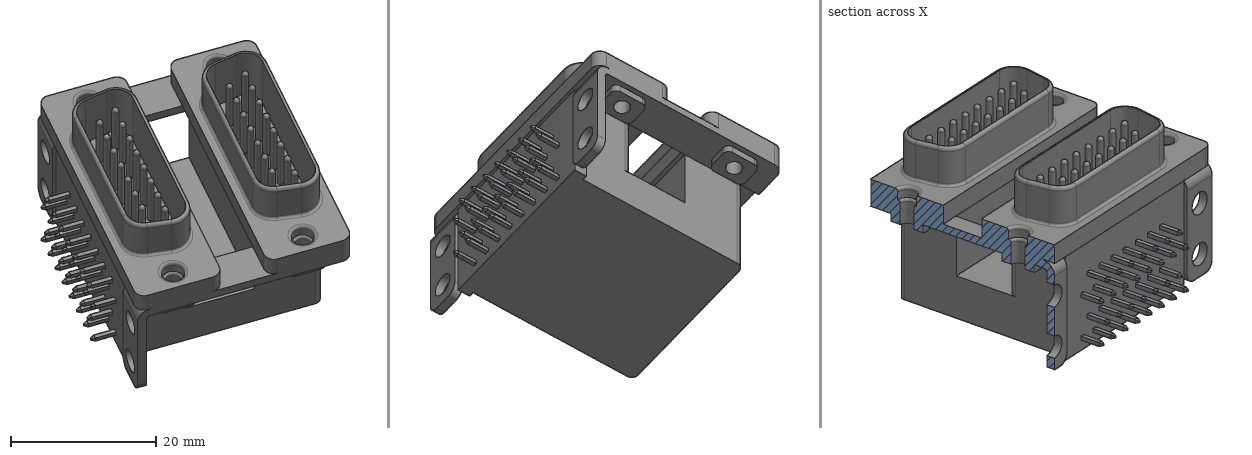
import cadquery as cq
import math

width = 39.15
height = 25.6
connector_pitch = 19.05
overlap = 0.2

flange_depth = 12.52
flange_bottom = 16.65
flange_top = 19.6
flange_corner = 1.5
connector_centers = [flange_depth / 2, flange_depth / 2 + connector_pitch]
rear_end = connector_pitch + flange_depth

shell_corner = 3.05
shell_wall = 0.6
shell_lip_round = 0.55
shell_root_fillet = 0.4
corner_half_span_y = 1.7
corner_half_span_x = 10.15
shell_slant = math.radians(10)

contact_pitch = 2.77
row_gap = 2.8
contact_radius = 0.49
contact_top = 24.97
long_row = 8
short_row = 7

pin_width = 0.63
pin_end = -3.2
pin_tip_length = 0.6
pin_taper_angle = 20
lower_row_z = 1.9
pin_group_step = 6.7

sheet = 1.35
bend_outer = 1.9
bend_inner = bend_outer - sheet
arm_inner_x = 13.8
arm_width = width / 2 - arm_inner_x
arm_x = (width / 2 + arm_inner_x) / 2
arm_bottom = flange_bottom - sheet
tab_corner = 1.55
tab_hole_radius = 1.72
tab_hole_heights = [3.55, 11.55]

bore_radius = 1.55
bore_rim_round = 0.47
bore_bottom = 17.9
thread_radius = 1.17
nut_width = 4.3
nut_depth = 5.6
nut_corner = 0.95
nut_bottom = 14.1

housing_top = flange_bottom + overlap
plate_half = 13.65
plate_front = 0.45
plate_back = 2.4
housing_half = 12.88
housing_round = 1.1
front_block_back = 10.65
rear_block_front = 19.7
rear_block_back = 29.65
low_block_top = 6.65


def block(half_width, y_front, y_back, top):
    """Block standing on the base, symmetric about X = 0."""
    size_y = y_back - y_front
    solid = cq.Workplane("XY").box(2 * half_width, size_y, top, centered=(True, False, False))
    return solid.translate((0, y_front, 0))


def row_positions(count):
    return [(i - (count - 1) / 2) * contact_pitch for i in range(count)]


def two_row_points(long_row_y, short_row_y):
    """Centers of one long and one short row, staggered by half a pitch."""
    points = [(x, long_row_y) for x in row_positions(long_row)]
    points += [(x, short_row_y) for x in row_positions(short_row)]
    return points


def make_housing():
    plate = block(plate_half, plate_front, plate_back, housing_top)
    front_block = block(housing_half, plate_front, front_block_back, housing_top)
    rear_block = block(housing_half, rear_block_front, rear_block_back, housing_top)
    low_block = block(housing_half, plate_front, rear_block_front + overlap, low_block_top)
    front_block = front_block.edges("|Z and >Y").fillet(housing_round)
    rear_block = rear_block.edges("|Z and >Y").fillet(housing_round)
    return plate.union(front_block).union(low_block).union(rear_block)


def make_right_arm():
    """Bracket arm on the +X side: a strip under the flanges bent down into a mounting tab."""
    bend_start = flange_bottom - bend_outer
    arm = (
        cq.Workplane("YZ", origin=(arm_x, 0, 0))
        .moveTo(0, 0)
        .lineTo(0, bend_start)
        .radiusArc((bend_outer, flange_bottom), bend_outer)
        .lineTo(rear_end, flange_bottom)
        .lineTo(rear_end, arm_bottom)
        .lineTo(bend_outer, arm_bottom)
        .radiusArc((sheet, bend_start), -bend_inner)
        .lineTo(sheet, 0)
        .close()
        .extrude(arm_width / 2, both=True)
    )
    arm = arm.faces("<Z").edges("|Y").fillet(tab_corner)
    arm = arm.faces(">Y").edges("|Z and >X").fillet(flange_corner)
    holes = (
        cq.Workplane("XZ")
        .pushPoints([(arm_x, z) for z in tab_hole_heights])
        .circle(tab_hole_radius)
        .extrude(-sheet)
    )
    return arm.cut(holes)


def d_prism(corner_radius, z_min, z_max):
    """D-shaped prism around the Z axis, wide side toward +Y."""
    narrow_half = corner_half_span_x - 2 * corner_half_span_y * math.tan(shell_slant)
    corner_centers = [
        (-corner_half_span_x, corner_half_span_y),
        (corner_half_span_x, corner_half_span_y),
        (narrow_half, -corner_half_span_y),
        (-narrow_half, -corner_half_span_y),
    ]
    outline = cq.Workplane("XY", origin=(0, 0, z_min)).polyline(corner_centers).close()
    return outline.offset2D(corner_radius).extrude(z_max - z_min)


def make_shell_and_flange():
    """Solid flange and D shell around the Z axis, hollowed down to the housing."""
    flange = (
        cq.Workplane("XY", origin=(0, 0, flange_bottom))
        .rect(width, flange_depth)
        .extrude(flange_top - flange_bottom)
        .edges("|Z")
        .fillet(flange_corner)
    )
    body = flange.union(d_prism(shell_corner, flange_top, height))
    root_box = cq.selectors.BoxSelector(
        (-arm_inner_x, -flange_depth / 2 + overlap, flange_top - overlap),
        (arm_inner_x, flange_depth / 2 - overlap, flange_top + overlap),
    )
    body = body.edges(root_box).fillet(shell_root_fillet)
    body = body.faces(">Z").edges().fillet(shell_lip_round)
    return body.cut(d_prism(shell_corner - shell_wall, housing_top, height))


def make_nuts():
    return (
        cq.Workplane("XY", origin=(0, 0, nut_bottom))
        .pushPoints([(-arm_x, 0), (arm_x, 0)])
        .rect(nut_width, nut_depth)
        .extrude(housing_top - nut_bottom)
        .edges("|Z")
        .fillet(nut_corner)
    )


def make_contacts():
    """Two rows of round-tipped contacts rising from the housing."""
    shoulder = contact_top - contact_radius
    contact = (
        cq.Workplane("XZ")
        .moveTo(0, flange_bottom)
        .lineTo(contact_radius, flange_bottom)
        .lineTo(contact_radius, shoulder)
        .radiusArc((0, contact_top), -contact_radius)
        .close()
        .revolve(360, (0, 0, 0), (0, 1, 0))
        .val()
    )
    points = two_row_points(row_gap / 2, -row_gap / 2)
    return cq.Workplane("XY").pushPoints(points).eachpoint(lambda loc: contact.located(loc))


def make_screw_holes():
    """Pair of stepped cutters, each step with a rounded rim."""
    step_round = bore_radius - thread_radius
    cutter = (
        cq.Workplane("XZ")
        .moveTo(0, nut_bottom)
        .lineTo(thread_radius, nut_bottom)
        .lineTo(thread_radius, bore_bottom - step_round)
        .radiusArc((bore_radius, bore_bottom), step_round)
        .lineTo(bore_radius, flange_top - bore_rim_round)
        .radiusArc((bore_radius + bore_rim_round, flange_top), bore_rim_round)
        .lineTo(0, flange_top)
        .close()
        .revolve(360, (0, 0, 0), (0, 1, 0))
        .val()
    )
    points = [(-arm_x, 0), (arm_x, 0)]
    return cq.Workplane("XY").pushPoints(points).eachpoint(lambda loc: cutter.located(loc))


def make_board_pins():
    """Two groups of square pins leaving the front plate toward -Y, with tapered tips."""
    points = []
    for group in range(2):
        long_row_z = lower_row_z + group * pin_group_step
        points += two_row_points(long_row_z, long_row_z + row_gap)
    root = plate_front + overlap
    tip_start = pin_end + pin_tip_length
    shafts = cq.Workplane("XZ", origin=(0, root, 0)).pushPoints(points).rect(pin_width, pin_width)
    tips = cq.Workplane("XZ", origin=(0, tip_start, 0)).pushPoints(points).rect(pin_width, pin_width)
    shafts = shafts.extrude(root - tip_start)
    return shafts.union(tips.extrude(pin_tip_length, taper=pin_taper_angle))


right_arm = make_right_arm()
result = make_housing().union(right_arm).union(right_arm.mirror("YZ"))

connector = make_shell_and_flange().union(make_nuts())
contacts = make_contacts()
screw_holes = make_screw_holes()
for y_center in connector_centers:
    position = (0, y_center, 0)
    result = result.union(connector.translate(position))
    result = result.union(contacts.translate(position))
    result = result.cut(screw_holes.translate(position))

result = result.union(make_board_pins())